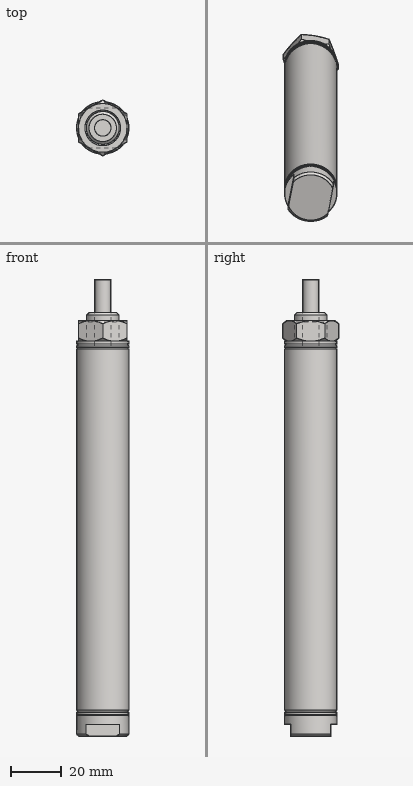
import cadquery as cq
import math

total_length = 179.5
barrel_radius = 20.7 / 2

rear_chamfer = 0.9
flat_height = 4.7
across_rear_flats = 15.8

notch_depth = 0.7
rear_notch_slope_start = 10.2
rear_notch_step = 9.3
front_notch_slope_start = 153.4
front_notch_step = 154.3
slim_groove_width = 0.5
slim_groove_depth = 0.4
rear_slim_groove_bottom = 8.0
front_slim_groove_bottom = 152.3

shoulder_height = 155.3
nut_thickness = 8.0
nut_corner_radius = 22.0 / 2
nut_chamfer_angle = 40.0
nut_bore_chamfer = 0.5
nose_radius = 6.5
nose_height = 166.7
nose_chamfer = 1.0

rod_radius = 3.2
rod_seat_height = front_slim_groove_bottom


def cylinder(radius, bottom, top):
    return cq.Workplane("XY").workplane(offset=bottom).circle(radius).extrude(top - bottom)


def slim_groove_cutter(bottom):
    """Square-sided ring of material removed around the barrel."""
    top = bottom + slim_groove_width
    outer = cylinder(2 * barrel_radius, bottom, top)
    return outer.cut(cylinder(barrel_radius - slim_groove_depth, bottom, top))


def notch_cutter(slope_start, step):
    """Ring whose floor slopes inward from slope_start to a flat wall at step."""
    return (
        cq.Workplane("XZ")
        .moveTo(barrel_radius, slope_start)
        .lineTo(barrel_radius - notch_depth, step)
        .lineTo(barrel_radius, step)
        .close()
        .revolve(360, (0, 0, 0), (0, 1, 0))
    )


def make_housing():
    barrel = cylinder(barrel_radius, 0, shoulder_height).faces("<Z").chamfer(rear_chamfer)
    for bottom in (rear_slim_groove_bottom, front_slim_groove_bottom):
        barrel = barrel.cut(slim_groove_cutter(bottom))
    barrel = barrel.cut(notch_cutter(rear_notch_slope_start, rear_notch_step))
    barrel = barrel.cut(notch_cutter(front_notch_slope_start, front_notch_step))

    blank_width = 4 * barrel_radius
    tongue = cq.Workplane("XY").rect(blank_width, across_rear_flats).extrude(flat_height)
    flats_blank = cq.Workplane("XY").rect(blank_width, blank_width).extrude(flat_height)
    barrel = barrel.cut(flats_blank.cut(tongue))

    nose = cylinder(nose_radius, shoulder_height, nose_height).faces(">Z").chamfer(nose_chamfer)
    rod_bore = cylinder(rod_radius, rod_seat_height, nose_height)
    return barrel.union(nose).cut(rod_bore)


def make_nut():
    corners = [
        (nut_corner_radius * math.sin(turn * math.pi / 3), nut_corner_radius * math.cos(turn * math.pi / 3))
        for turn in range(6)
    ]
    hexagon = cq.Workplane("XY").polyline(corners).close().extrude(nut_thickness)

    face_radius = nut_corner_radius * math.cos(math.pi / 6)
    bevel_height = (nut_corner_radius - face_radius) * math.tan(math.radians(nut_chamfer_angle))
    envelope = (
        cq.Workplane("XZ")
        .moveTo(0, 0)
        .lineTo(face_radius, 0)
        .lineTo(nut_corner_radius, bevel_height)
        .lineTo(nut_corner_radius, nut_thickness - bevel_height)
        .lineTo(face_radius, nut_thickness)
        .lineTo(0, nut_thickness)
        .close()
        .revolve(360, (0, 0, 0), (0, 1, 0))
    )
    bore = cylinder(nose_radius, 0, nut_thickness)
    nut = hexagon.intersect(envelope).cut(bore)
    nut = nut.faces(">Z").edges("%CIRCLE").edges(cq.selectors.RadiusNthSelector(0)).chamfer(nut_bore_chamfer)
    return nut.translate((0, 0, shoulder_height))


def make_rod():
    return cylinder(rod_radius, rod_seat_height, total_length)


housing = make_housing()
nut = make_nut()
rod = make_rod()

result = cq.Compound.makeCompound([housing.val(), nut.val(), rod.val()])